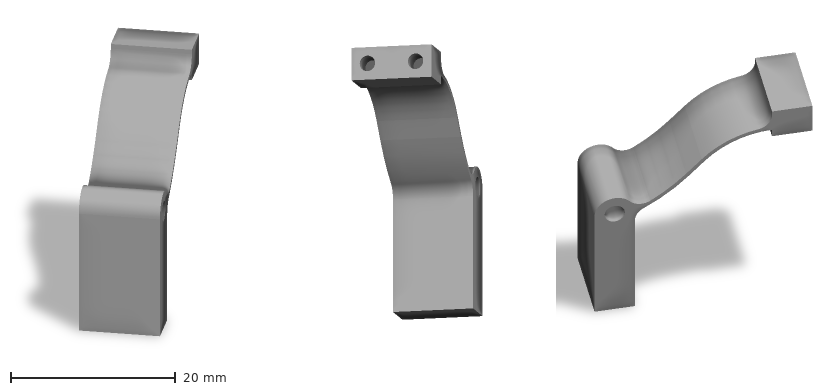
import cadquery as cq
import math

TOTAL_LENGTH = 27.0
TOTAL_HEIGHT = 28.45
WIDTH = 10.0
TURN_ABOUT_Z = -45.0

BLOCK_LENGTH = 5.0
BLOCK_HEIGHT = 4.0
LEG_THICKNESS = 5.0
HUB_TOP_HEIGHT = 17.95
FILLET_RADIUS = 2.0

ARM_THICKNESS = 0.5
ARM_ROOT_HEIGHT = 25.5
UPPER_BEND_RADIUS = 11.6
ARM_SLOPE = math.radians(46)
STRAIGHT_LENGTH = 2.8
LOWER_BEND_RADIUS = 22.95

PIVOT_DIAMETER = 2.5
MOUNT_HOLE_DIAMETER = 1.9
MOUNT_HOLE_SPACING = 6.0
MOUNT_HOLE_DEPTH = 3.0

hub_radius = LEG_THICKNESS / 2
hub_center = (TOTAL_LENGTH - hub_radius, HUB_TOP_HEIGHT - hub_radius)
leg_inner = TOTAL_LENGTH - LEG_THICKNESS
block_bottom = TOTAL_HEIGHT - BLOCK_HEIGHT


def move(point, distance, angle):
    """Point at a distance from another, in the direction of the angle."""
    return (point[0] + distance * math.cos(angle), point[1] + distance * math.sin(angle))


def direction(start, end):
    return math.atan2(end[1] - start[1], end[0] - start[0])


def on_arc(center, radius, start, end):
    """Middle point of the shorter arc between two points of a circle."""
    middle = ((start[0] + end[0]) / 2, (start[1] + end[1]) / 2)
    return move(center, radius, direction(center, middle))


def arm_bends():
    """Centers of the two bends; both arm faces are concentric about them."""
    normal = math.pi / 2 - ARM_SLOPE
    upper = (BLOCK_LENGTH, ARM_ROOT_HEIGHT - UPPER_BEND_RADIUS)
    straight_start = move(upper, UPPER_BEND_RADIUS, normal)
    straight_end = move(straight_start, STRAIGHT_LENGTH, -ARM_SLOPE)
    lower = move(straight_end, LOWER_BEND_RADIUS, normal)
    return upper, lower, normal


def valley_center(bend_center, bend_radius):
    """Center of the fillet touching the hub from outside and the concave bend from inside."""
    hub_distance = hub_radius + FILLET_RADIUS
    bend_distance = bend_radius - FILLET_RADIUS
    span = math.dist(hub_center, bend_center)
    cosine = (hub_distance**2 + span**2 - bend_distance**2) / (2 * hub_distance * span)
    return move(hub_center, hub_distance, direction(hub_center, bend_center) + math.acos(cosine))


def make_profile():
    upper, lower, normal = arm_bends()
    top_upper_radius = UPPER_BEND_RADIUS + ARM_THICKNESS
    top_lower_radius = LOWER_BEND_RADIUS - ARM_THICKNESS

    root_u = BLOCK_LENGTH + FILLET_RADIUS
    root_rise = math.sqrt((top_upper_radius + FILLET_RADIUS) ** 2 - FILLET_RADIUS**2)
    root = (root_u, upper[1] + root_rise)
    root_start = (BLOCK_LENGTH, root[1])
    root_end = move(upper, top_upper_radius, direction(upper, root))

    valley = valley_center(lower, top_lower_radius)
    valley_start = move(lower, top_lower_radius, direction(lower, valley))
    valley_end = move(hub_center, hub_radius, direction(hub_center, valley))

    under_u = leg_inner - FILLET_RADIUS
    under_distance = LOWER_BEND_RADIUS + FILLET_RADIUS
    under = (under_u, lower[1] - math.sqrt(under_distance**2 - (under_u - lower[0]) ** 2))
    under_start = (leg_inner, under[1])
    under_end = move(lower, LOWER_BEND_RADIUS, direction(lower, under))

    top_run_start = move(upper, top_upper_radius, normal)
    top_run_end = move(lower, -top_lower_radius, normal)
    under_run_start = move(upper, UPPER_BEND_RADIUS, normal)
    under_run_end = move(lower, -LOWER_BEND_RADIUS, normal)
    arm_root = (BLOCK_LENGTH, ARM_ROOT_HEIGHT)
    hub_side = (TOTAL_LENGTH, hub_center[1])
    hub_top = (hub_center[0], hub_center[1] + hub_radius)

    return (
        cq.Workplane("XZ")
        .moveTo(0, block_bottom)
        .lineTo(0, TOTAL_HEIGHT)
        .lineTo(BLOCK_LENGTH, TOTAL_HEIGHT)
        .lineTo(*root_start)
        .threePointArc(on_arc(root, FILLET_RADIUS, root_start, root_end), root_end)
        .threePointArc(on_arc(upper, top_upper_radius, root_end, top_run_start), top_run_start)
        .lineTo(*top_run_end)
        .threePointArc(on_arc(lower, top_lower_radius, top_run_end, valley_start), valley_start)
        .threePointArc(on_arc(valley, FILLET_RADIUS, valley_start, valley_end), valley_end)
        .threePointArc(hub_top, hub_side)
        .lineTo(TOTAL_LENGTH, 0)
        .lineTo(leg_inner, 0)
        .lineTo(*under_start)
        .threePointArc(on_arc(under, FILLET_RADIUS, under_start, under_end), under_end)
        .threePointArc(on_arc(lower, LOWER_BEND_RADIUS, under_end, under_run_end), under_run_end)
        .lineTo(*under_run_start)
        .threePointArc(on_arc(upper, UPPER_BEND_RADIUS, under_run_start, arm_root), arm_root)
        .lineTo(BLOCK_LENGTH, block_bottom)
        .close()
    )


def make_pivot_hole():
    """Through hole across the width, concentric with the hub."""
    return cq.Workplane("XZ").center(*hub_center).circle(PIVOT_DIAMETER / 2).extrude(-WIDTH)


def make_mount_holes():
    """Pair of blind holes in the end face of the block."""
    block_middle = TOTAL_HEIGHT - BLOCK_HEIGHT / 2
    return (
        cq.Workplane("YZ")
        .center(WIDTH / 2, block_middle)
        .rarray(MOUNT_HOLE_SPACING, 0.28, 2, 1)
        .circle(MOUNT_HOLE_DIAMETER / 2)
        .extrude(MOUNT_HOLE_DEPTH)
    )


body = make_profile().extrude(-WIDTH)
body = body.cut(make_pivot_hole()).cut(make_mount_holes())
result = body.rotate((0, 0, 0), (0, 0, 1), TURN_ABOUT_Z)